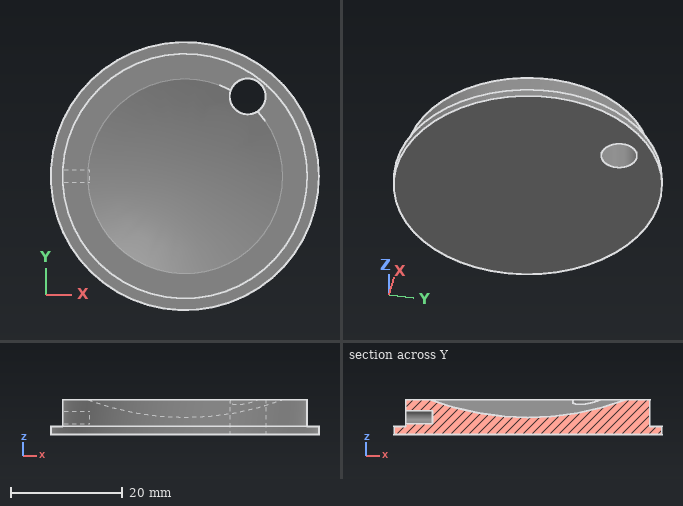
import cadquery as cq
import math

flange_diameter = 48.25
flange_thickness = 1.5
body_diameter = 44.0
total_height = 6.25

bowl_rim_diameter = 35.05
bowl_sphere_radius = 50.05

through_hole_diameter = 6.4
through_hole_x = 11.3
through_hole_y = 14.35

side_hole_diameter = 2.25
side_hole_depth = 4.82
side_hole_z = 3.1


def stepped_disc():
    """Round body standing on a wider, thin flange."""
    flange = cq.Workplane("XY").circle(flange_diameter / 2).extrude(flange_thickness)
    body = cq.Workplane("XY").circle(body_diameter / 2).extrude(total_height)
    return flange.union(body)


def bowl_cutter():
    """Sphere that meets the top face in the bowl rim."""
    centre_above_top = math.sqrt(bowl_sphere_radius**2 - (bowl_rim_diameter / 2) ** 2)
    sphere = cq.Workplane("XY").sphere(bowl_sphere_radius)
    return sphere.translate((0, 0, total_height + centre_above_top))


def through_hole_cutter():
    """Cylinder through the full height."""
    workplane = cq.Workplane("XY").center(through_hole_x, through_hole_y)
    return workplane.circle(through_hole_diameter / 2).extrude(total_height)


def side_hole_cutter():
    """Cylinder running inward along +X from the -X side of the body."""
    workplane = cq.Workplane("YZ", origin=(-body_diameter / 2, 0, side_hole_z))
    return workplane.circle(side_hole_diameter / 2).extrude(side_hole_depth)


result = (
    stepped_disc()
    .cut(bowl_cutter())
    .cut(through_hole_cutter())
    .cut(side_hole_cutter())
)